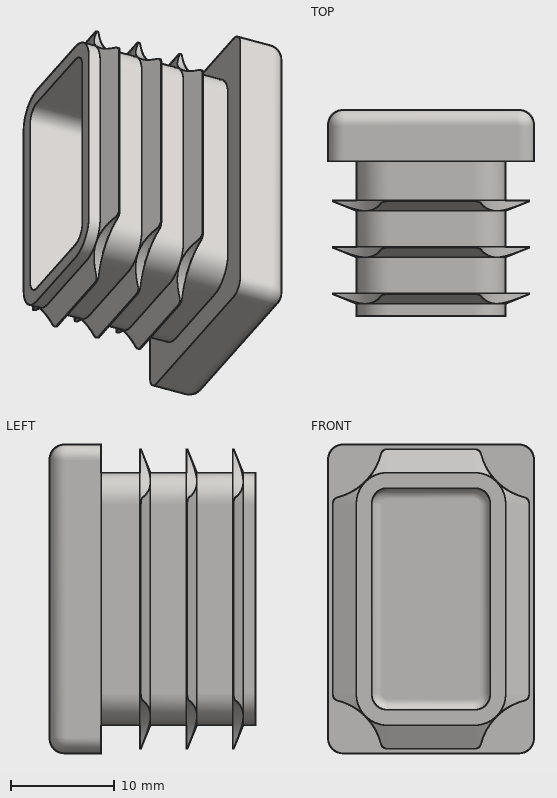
import cadquery as cq
import math


cap_width = 20.0
cap_height = 30.0
cap_thickness = 5.0
cap_round = 1.5

insert_width = 14.5
insert_height = 24.5
insert_length = 15.0
insert_corner = 3.0
wall = 1.5
floor_round = 1.0

rib_count = 3
rib_pitch = 4.5
rib_overhang = 2.28
rib_thickness = 1.02
rib_tip = 0.1
last_rib_end = 1.2
rib_end_round = 0.63
scallop_gap = 0.015


def rounded_block(width, height, corner, y_start, y_end):
    """Block along Y with rounded corners, centred on X and Z."""
    return (
        cq.Workplane("XZ", origin=(0, y_end, 0))
        .rect(width, height)
        .extrude(y_end - y_start)
        .edges("|Y")
        .fillet(corner)
    )


def make_cap():
    return (
        cq.Workplane("XZ", origin=(0, cap_thickness, 0))
        .rect(cap_width, cap_height)
        .extrude(cap_thickness)
        .edges("|Y or >Y")
        .fillet(cap_round)
    )


def make_cavity():
    """Blind pocket with rounded floor edges, ending level with the cap underside."""
    pocket = rounded_block(
        insert_width - 2 * wall, insert_height - 2 * wall, insert_corner - wall, -insert_length, 0
    )
    return pocket.faces(">Y").edges().fillet(floor_round)


def rib_rim_outline(y):
    """Rim of a rib: four straight sides joined by S-shaped ends and concave corner scallops."""
    flat_x = insert_width / 2 - insert_corner
    flat_z = insert_height / 2 - insert_corner
    reach = insert_corner + rib_overhang

    apex = insert_corner + scallop_gap
    end_centre = reach - rib_end_round
    numerator = apex**2 + end_centre**2 - math.sqrt(2) * apex * end_centre - rib_end_round**2
    scallop_radius = numerator / (2 * rib_end_round - 2 * apex + math.sqrt(2) * end_centre)
    scallop_centre = (apex + scallop_radius) / math.sqrt(2)

    turn = math.atan2(scallop_centre - end_centre, scallop_centre)
    mid_turn = (turn + math.pi / 2) / 2
    join = (rib_end_round * math.cos(turn), end_centre + rib_end_round * math.sin(turn))
    mid = (rib_end_round * math.cos(mid_turn), end_centre + rib_end_round * math.sin(mid_turn))
    apex_point = (apex / math.sqrt(2), apex / math.sqrt(2))

    corner = [(0, reach), mid, join, apex_point, join[::-1], mid[::-1], (reach, 0)]

    outline = cq.Workplane("XZ", origin=(0, y, 0)).moveTo(flat_x, flat_z + reach)
    for side_x, side_z in [(1, 1), (1, -1), (-1, -1), (-1, 1)]:
        points = [(side_x * (flat_x + u), side_z * (flat_z + v)) for u, v in corner]
        if side_x != side_z:
            points.reverse()
        if (side_x, side_z) != (1, 1):
            outline = outline.lineTo(*points[0])
        outline = outline.threePointArc(points[1], points[2])
        outline = outline.threePointArc(points[3], points[4])
        outline = outline.threePointArc(points[5], points[6])
    return outline.close()


def make_rib(root_y):
    """Rib with a flat face toward the cap, tapering from its root out to a thin rim."""
    rim_y = root_y + rib_thickness - rib_tip
    back_y = root_y + rib_thickness
    rim_width = insert_width + 2 * rib_overhang
    rim_height = insert_height + 2 * rib_overhang
    rim_corner = insert_corner + rib_overhang

    root_sketch = cq.Sketch().rect(insert_width, insert_height).vertices().fillet(insert_corner)
    rim_sketch = cq.Sketch().rect(rim_width, rim_height).vertices().fillet(rim_corner)
    taper = (
        cq.Workplane("XZ", origin=(0, rim_y, 0))
        .placeSketch(rim_sketch, root_sketch.moved(cq.Location(cq.Vector(0, 0, rim_y - root_y))))
        .loft(ruled=True)
    )
    rim = rounded_block(rim_width, rim_height, rim_corner, rim_y, back_y)
    return taper.union(rim).intersect(rib_rim_outline(back_y).extrude(rib_thickness))


body = make_cap().union(rounded_block(insert_width, insert_height, insert_corner, -insert_length, 0))
for index in range(rib_count):
    body = body.union(make_rib(-insert_length + last_rib_end + index * rib_pitch))

result = body.cut(make_cavity())